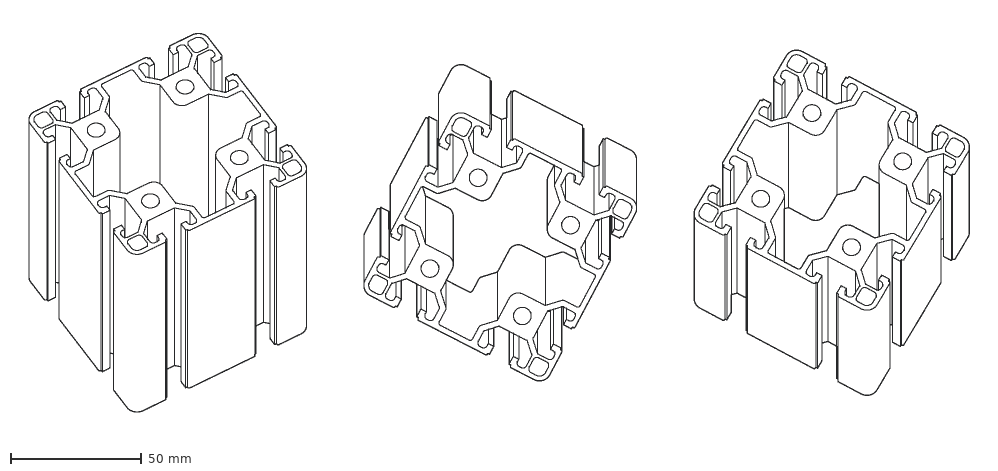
import cadquery as cq
import math

side = 80.0
length = 100.0
half_side = side / 2
corner_radius = 4.5

slot_offset = side / 4
slot_mouth_half = 4.2
slot_rebate_half = 5.0
slot_rebate_depth = 0.9
lip_depth = 4.4
lip_width = 2.4
lip_inner_half = slot_mouth_half + lip_width
slot_cavity_half = 10.4
flange_thickness = 1.9
slot_floor_depth = 12.3
slot_knee_depth = 8.0
slot_fillet = 1.5
rebate_edge_fillet = 0.5

core_half = slot_offset - slot_floor_depth
core_hole_diameter = 6.8
core_corner_radius = 4.0

box_inner_depth = 8.4
box_size = box_inner_depth - flange_thickness
box_centre = half_side - (flange_thickness + box_inner_depth) / 2
box_fillet = 1.6
box_outer_fillet = corner_radius - flange_thickness

web_thickness = 2.4
face_wall_thickness = 2.2
arm_root_half = slot_offset - core_half
arm_tip_half = slot_offset - slot_cavity_half - web_thickness
arm_reach = half_side - face_wall_thickness
arm_taper_end = 31.0
arm_taper_start = arm_taper_end - (arm_root_half - arm_tip_half)
arm_knee_fillet = 1.5
arm_tip_fillet = 1.0


def fillet_at(solid, points, radius):
    """Fillet the edges parallel to Z that stand on the given XY points."""
    tolerance = 0.1
    chosen = []
    for edge in solid.edges("|Z").vals():
        spot = edge.Center()
        if any(math.hypot(spot.x - x, spot.y - y) < tolerance for x, y in points):
            chosen.append(edge)
    return solid.newObject(chosen).fillet(radius)


def mirrored(points):
    """Close a right-hand half outline with its mirror image across X = 0."""
    return points + [(-x, y) for x, y in reversed(points)]


def make_slot():
    """T-slot void opening through the +Y face, centred on X = 0."""
    ceiling = half_side - flange_thickness
    lip_end = half_side - lip_depth
    rebate = half_side - slot_rebate_depth
    knee = half_side - slot_knee_depth
    floor = half_side - slot_floor_depth
    floor_half = slot_cavity_half - (slot_floor_depth - slot_knee_depth)
    right_half = [
        (slot_rebate_half, half_side),
        (slot_rebate_half, rebate),
        (slot_mouth_half, rebate),
        (slot_mouth_half, lip_end),
        (lip_inner_half, lip_end),
        (lip_inner_half, ceiling),
        (slot_cavity_half, ceiling),
        (slot_cavity_half, knee),
        (floor_half, floor),
    ]
    slot = cq.Workplane("XY").polyline(mirrored(right_half)).close().extrude(length)
    rounded = mirrored([(lip_inner_half, ceiling), (slot_cavity_half, ceiling)])
    return fillet_at(slot, rounded, slot_fillet)


def make_cavity_arm():
    """Arm of the central void, running from the axis towards the +Y face."""
    right_half = [
        (arm_root_half, 0),
        (arm_root_half, arm_taper_start),
        (arm_tip_half, arm_taper_end),
        (arm_tip_half, arm_reach),
    ]
    arm = cq.Workplane("XY").polyline(mirrored(right_half)).close().extrude(length)
    arm = fillet_at(arm, mirrored([(arm_tip_half, arm_taper_end)]), arm_knee_fillet)
    return fillet_at(arm, mirrored([(arm_tip_half, arm_reach)]), arm_tip_fillet)


def make_corner_box():
    """Void inside the +X +Y corner, rounder on its outer edge."""
    box = cq.Workplane("XY").center(box_centre, box_centre).rect(box_size, box_size).extrude(length)
    outer = half_side - flange_thickness
    inner = half_side - box_inner_depth
    box = fillet_at(box, [(outer, outer)], box_outer_fillet)
    return fillet_at(box, [(inner, inner), (inner, outer), (outer, inner)], box_fillet)


def around_axis(solid, turn):
    """Turn a solid about Z by the given number of quarter turns."""
    return solid.rotate((0, 0, 0), (0, 0, 1), 90 * turn)


body = cq.Workplane("XY").rect(side, side).extrude(length)
body = body.edges("|Z").fillet(corner_radius)

slot = make_slot()
corner_box = make_corner_box()
arm = make_cavity_arm()
cavity = arm
for turn in range(4):
    for offset in (-slot_offset, slot_offset):
        body = body.cut(around_axis(slot.translate((offset, 0, 0)), turn))
    body = body.cut(around_axis(corner_box, turn))
    cavity = cavity.union(around_axis(arm, turn))

rebate_edges = []
for centre in (-slot_offset, slot_offset):
    for rebate_half in (-slot_rebate_half, slot_rebate_half):
        for face in (-half_side, half_side):
            rebate_edges.append((centre + rebate_half, face))
            rebate_edges.append((face, centre + rebate_half))
body = fillet_at(body, rebate_edges, rebate_edge_fillet)

core_corners = [(x, y) for x in (-arm_root_half, arm_root_half) for y in (-arm_root_half, arm_root_half)]
body = body.cut(fillet_at(cavity, core_corners, core_corner_radius))

result = (
    body.faces(">Z").workplane(origin=(0, 0, length))
    .rarray(2 * slot_offset, 2 * slot_offset, 2, 2)
    .hole(core_hole_diameter)
)